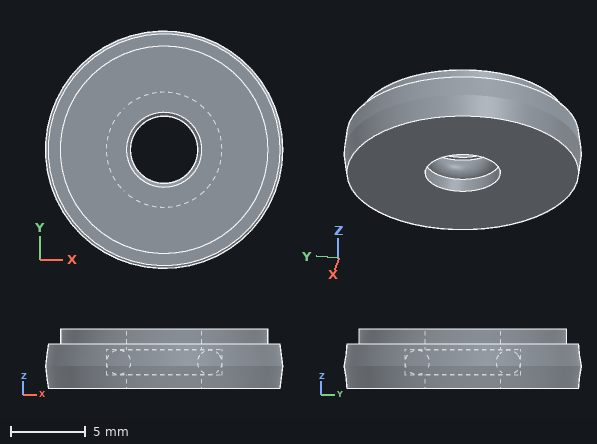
import cadquery as cq

waist_radius = 7.95
rim_edge_radius = 7.76
disc_radius = 6.95
rim_height = 3.0
disc_height = 1.0
total_height = rim_height + disc_height
waist_z = rim_height / 2

bore_radius = 2.51
seal_inner_radius = 2.24
seal_section_diameter = 1.62
seal_z = 1.76
groove_height = 1.69

seal_section_radius = seal_section_diameter / 2
seal_center_radius = seal_inner_radius + seal_section_radius
groove_radius = seal_inner_radius + seal_section_diameter


def make_housing():
    """Revolve the stepped, double-tapered body, then cut its bore and seal groove."""
    profile = [
        (0, 0),
        (rim_edge_radius, 0),
        (waist_radius, waist_z),
        (rim_edge_radius, rim_height),
        (disc_radius, rim_height),
        (disc_radius, total_height),
        (0, total_height),
    ]
    body = cq.Workplane("XZ").polyline(profile).close().revolve(360, (0, 0), (0, 1))
    bore = cq.Workplane("XY").circle(bore_radius).extrude(total_height)
    groove_floor_z = seal_z - groove_height / 2
    groove = (
        cq.Workplane("XY", origin=(0, 0, groove_floor_z))
        .circle(groove_radius)
        .extrude(groove_height)
    )
    return body.cut(bore).cut(groove)


def make_seal_ring():
    """Round-section ring touching the groove's outer wall and protruding into the bore."""
    return (
        cq.Workplane("XZ")
        .center(seal_center_radius, seal_z)
        .circle(seal_section_radius)
        .revolve(360, (-seal_center_radius, 0), (-seal_center_radius, 1))
    )


housing = make_housing()
seal_ring = make_seal_ring()

result = cq.Compound.makeCompound([housing.val(), seal_ring.val()])